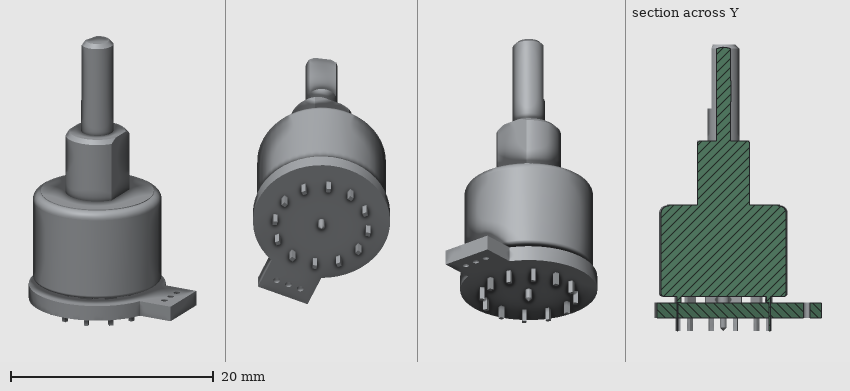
import cadquery as cq

overall_height = 28.24
board_bottom = 1.27
board_thickness = 1.52
board_top = board_bottom + board_thickness
housing_bottom = 3.37
housing_height = 9.1
housing_top = housing_bottom + housing_height
bushing_height = 6.3
bushing_top = housing_top + bushing_height

housing_radius = 12.7 / 2
top_disc_height = 0.09
top_round_radius = 0.77
bottom_round_radius = 0.33
top_disc_radius = housing_radius - top_round_radius

bushing_radius = 6.35 / 2
bushing_width = 5.2
bushing_chamfer = 0.4

shaft_radius = 3.175 / 2
shaft_chamfer = 0.4
shaft_flat_length = 6.3
shaft_flat_distance = 0.85
shaft_flat_angle = 165

terminal_count = 12
terminal_circle_radius = 4.63
terminal_first_angle = 15
terminal_size = 0.42
shoulder_width = 1.2

pin_radius = 0.65 / 2
pin_shoulder_radius = 1.14 / 2

board_radius = 13.53 / 2
overall_length = 16.42
tab_width = 5.33
tab_end = overall_length - board_radius
tab_hole_diameter = 0.65
tab_hole_count = 3
tab_hole_pitch = 1.27
tab_hole_x = 8.22


def make_housing():
    case = (
        cq.Workplane("XY", origin=(0, 0, housing_bottom))
        .circle(housing_radius)
        .extrude(housing_height - top_disc_height)
        .faces(">Z").edges().fillet(top_round_radius)
        .faces("<Z").edges().fillet(bottom_round_radius)
    )
    top_disc = (
        cq.Workplane("XY", origin=(0, 0, housing_top - top_disc_height))
        .circle(top_disc_radius)
        .extrude(top_disc_height)
    )
    return case.union(top_disc)


def make_bushing():
    barrel = (
        cq.Workplane("XY", origin=(0, 0, housing_top))
        .circle(bushing_radius)
        .extrude(bushing_height)
        .faces(">Z").edges().chamfer(bushing_chamfer)
    )
    between_flats = (
        cq.Workplane("XY", origin=(0, 0, housing_top))
        .rect(bushing_width, 2 * bushing_radius)
        .extrude(bushing_height)
    )
    return barrel.intersect(between_flats)


def make_shaft():
    rod = (
        cq.Workplane("XY", origin=(0, 0, bushing_top))
        .circle(shaft_radius)
        .extrude(overall_height - bushing_top)
        .faces(">Z").edges().chamfer(shaft_chamfer)
    )
    flat_cutter = (
        cq.Workplane("XY", origin=(0, 0, overall_height - shaft_flat_length))
        .center(shaft_flat_distance + shaft_radius / 2, 0)
        .rect(shaft_radius, 2 * shaft_radius)
        .extrude(shaft_flat_length)
        .rotate((0, 0, 0), (0, 0, 1), shaft_flat_angle)
    )
    return rod.cut(flat_cutter)


def make_terminals():
    leg = (
        cq.Workplane("XY")
        .center(terminal_circle_radius, 0)
        .rect(terminal_size, terminal_size)
        .extrude(board_top)
    )
    shoulder = (
        cq.Workplane("XY", origin=(0, 0, board_top))
        .center(terminal_circle_radius, 0)
        .rect(terminal_size, shoulder_width)
        .extrude(housing_bottom - board_top)
    )
    terminal = leg.union(shoulder)
    terminals = cq.Workplane("XY")
    for index in range(terminal_count):
        angle = terminal_first_angle + index * 360 / terminal_count
        terminals = terminals.union(terminal.rotate((0, 0, 0), (0, 0, 1), angle))
    return terminals


def make_centre_pin():
    return (
        cq.Workplane("XZ")
        .moveTo(0, 0)
        .lineTo(pin_radius, pin_radius)
        .lineTo(pin_radius, board_top)
        .lineTo(pin_shoulder_radius, board_top)
        .lineTo(pin_shoulder_radius, housing_bottom)
        .lineTo(0, housing_bottom)
        .close()
        .revolve(360, (0, 0, 0), (0, 1, 0))
    )


def make_switch():
    switch = make_housing().union(make_bushing()).union(make_shaft())
    return switch.union(make_terminals()).union(make_centre_pin())


def make_board():
    disc = (
        cq.Workplane("XY", origin=(0, 0, board_bottom))
        .circle(board_radius)
        .extrude(board_thickness)
    )
    tab = (
        cq.Workplane("XY", origin=(0, 0, board_bottom))
        .center(tab_end / 2, 0)
        .rect(tab_end, tab_width)
        .extrude(board_thickness)
    )
    tab_holes = (
        cq.Workplane("XY", origin=(tab_hole_x, 0, board_bottom))
        .rarray(1, tab_hole_pitch, 1, tab_hole_count)
        .circle(tab_hole_diameter / 2)
        .extrude(board_thickness)
    )
    pin_holes = make_terminals().union(make_centre_pin())
    return disc.union(tab).cut(tab_holes).cut(pin_holes)


switch = make_switch()
board = make_board()

result = cq.Compound.makeCompound([switch.val(), board.val()])